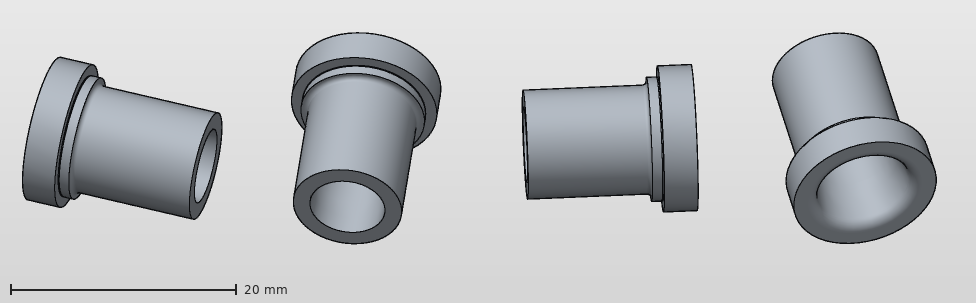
import cadquery as cq
import math

length = 15.0
flange_diameter = 13.0
flange_length = 3.0
collar_diameter = 11.05
relief_diameter = 11.0
relief_end = 3.1
collar_end = 4.0
barrel_diameter = 9.7
neck_fillet = 0.4

mouth_diameter = 10.41
mouth_radius = 1.0
lead_in_end = 4.5
lead_in_end_diameter = 7.26
outlet_diameter = 6.7


def outer_body():
    """Flange, shallow relief, collar and barrel, with a concave fillet where collar meets barrel."""
    flange = cq.Workplane("YZ").circle(flange_diameter / 2).extrude(flange_length)
    collar = cq.Workplane("YZ").circle(collar_diameter / 2).extrude(collar_end)
    relief = (
        cq.Workplane("YZ")
        .circle(collar_diameter / 2)
        .circle(relief_diameter / 2)
        .extrude(relief_end)
    )
    barrel = cq.Workplane("YZ").circle(barrel_diameter / 2).extrude(length)
    selection_margin = 0.15
    neck_edge = cq.selectors.BoxSelector(
        (collar_end - selection_margin, -barrel_diameter, -barrel_diameter),
        (collar_end + selection_margin, barrel_diameter, barrel_diameter),
    )
    stepped = collar.union(barrel)
    neck = stepped.edges(neck_edge).edges(cq.selectors.RadiusNthSelector(0))
    return neck.fillet(neck_fillet).cut(relief).union(flange)


def bore():
    """Revolved void whose rounded mouth is tangent to the front face and the lead-in cone."""
    center_x = mouth_radius
    center_r = mouth_diameter / 2
    run = lead_in_end - center_x
    drop = center_r - lead_in_end_diameter / 2
    cone_angle = math.atan2(drop, run) - math.asin(mouth_radius / math.hypot(run, drop))

    def mouth_point(angle):
        return (
            center_x - mouth_radius * math.sin(angle),
            center_r - mouth_radius * math.cos(angle),
        )

    arc_middle = mouth_point((cone_angle + math.pi / 2) / 2)
    return (
        cq.Workplane("XY")
        .moveTo(0, 0)
        .lineTo(0, center_r)
        .threePointArc(arc_middle, mouth_point(cone_angle))
        .lineTo(lead_in_end, lead_in_end_diameter / 2)
        .lineTo(length, outlet_diameter / 2)
        .lineTo(length, 0)
        .close()
        .revolve(360, (0, 0, 0), (1, 0, 0))
    )


result = outer_body().cut(bore())